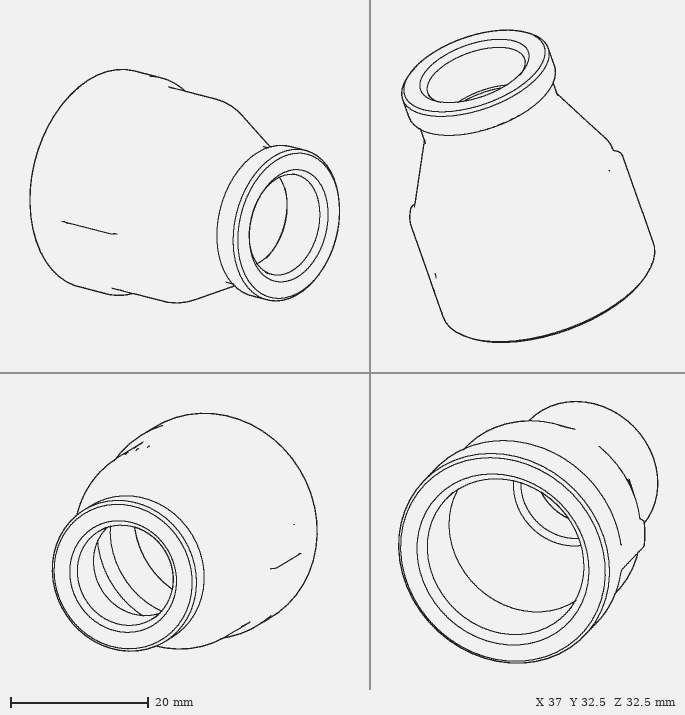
import cadquery as cq
import math

length = 37.0
end_chamfer = 0.48

collar_dia = 32.5
collar_end = 6.0
body_dia = 30.45
body_end = 17.35
neck_dia = 20.5
neck_start = 28.3
flange_dia = 22.5
flange_start = 32.95

body_cone_round = 1.25
neck_cone_round = 0.75
flange_step_round = (flange_dia - neck_dia) / 4

large_mouth_dia = 26.5
large_thread_dia = 24.12
large_thread_end = 10.88
large_relief_dia = 27.1
bore_cone_start = 16.87
bore_cone_round = 2.22
bore_neck_dia = 16.65
bore_neck_round = 0.75
small_thread_dia = 14.95
small_thread_length = 7.4

rib_width = 3.92

rib_corner_round = 0.48
raised_edge_round = 0.22
raised_root_round = 0.48

position_tolerance = 0.005

collar_radius = collar_dia / 2
body_radius = body_dia / 2
neck_radius = neck_dia / 2
flange_radius = flange_dia / 2
body_start = collar_end + collar_radius - body_radius


def rounded_outline(corners):
    """Closed half-section from (x, distance from axis, rounding radius) corners; radius 0 stays sharp."""
    first_x, first_y, _ = corners[0]
    outline = cq.Workplane("XZ").moveTo(first_x, first_y)
    position = cq.Vector(first_x, first_y)
    for index in range(1, len(corners)):
        x, y, radius = corners[index]
        corner = cq.Vector(x, y)
        if radius == 0:
            outline = outline.lineTo(x, y)
            position = corner
            continue
        before = cq.Vector(*corners[index - 1][:2])
        after = cq.Vector(*corners[(index + 1) % len(corners)][:2])
        to_before = (before - corner).normalized()
        to_after = (after - corner).normalized()
        half_angle = to_before.getAngle(to_after) / 2
        setback = radius / math.tan(half_angle)
        bisector = (to_before + to_after).normalized()
        arc_start = corner + to_before * setback
        arc_middle = corner + bisector * (radius / math.sin(half_angle) - radius)
        arc_end = corner + to_after * setback
        if (arc_start - position).Length > position_tolerance:
            outline = outline.lineTo(arc_start.x, arc_start.y)
        outline = outline.threePointArc((arc_middle.x, arc_middle.y), (arc_end.x, arc_end.y))
        position = arc_end
    return outline.close()


def turned(corners):
    """Solid of revolution about X, with the outline closed along the axis."""
    return rounded_outline(corners).revolve(360, (0, 0, 0), (1, 0, 0))


def make_outside():
    return turned([
        (0, 0, 0),
        (0, collar_radius - end_chamfer, 0),
        (end_chamfer, collar_radius, 0),
        (collar_end, collar_radius, 0),
        (body_start, body_radius, 0),
        (body_end, body_radius, body_cone_round),
        (neck_start, neck_radius, neck_cone_round),
        (flange_start, neck_radius, flange_step_round),
        (flange_start, flange_radius, flange_step_round),
        (length - end_chamfer, flange_radius, 0),
        (length, flange_radius - end_chamfer, 0),
        (length, 0, 0),
    ])


def make_bore():
    large_mouth_radius = large_mouth_dia / 2
    large_thread_radius = large_thread_dia / 2
    large_relief_radius = large_relief_dia / 2
    bore_neck_radius = bore_neck_dia / 2
    small_thread_radius = small_thread_dia / 2
    small_chamfer = bore_neck_radius - small_thread_radius
    cone_slope = (body_radius - neck_radius) / (neck_start - body_end)
    bore_cone_end = bore_cone_start + (large_relief_radius - bore_neck_radius) / cone_slope
    small_thread_start = length - small_thread_length
    return turned([
        (0, 0, 0),
        (0, large_mouth_radius, 0),
        (large_mouth_radius - large_thread_radius, large_thread_radius, 0),
        (large_thread_end, large_thread_radius, 0),
        (large_thread_end + large_relief_radius - large_thread_radius, large_relief_radius, 0),
        (bore_cone_start, large_relief_radius, bore_cone_round),
        (bore_cone_end, bore_neck_radius, bore_neck_round),
        (small_thread_start - small_chamfer, bore_neck_radius, 0),
        (small_thread_start, small_thread_radius, 0),
        (length - small_chamfer, small_thread_radius, 0),
        (length, bore_neck_radius, 0),
        (length, 0, 0),
    ])


def make_ribs():
    """Block across the part whose two ends are the ribs; their far ends round down onto the cone."""
    rib_turning = turned([
        (collar_end, 0, 0),
        (collar_end, collar_radius, 0),
        (body_end, collar_radius, body_cone_round),
        (body_end, 0, 0),
    ])
    slab = cq.Workplane("XY").box(2 * length, 2 * collar_dia, rib_width)
    return rib_turning.intersect(slab)


def arcs_at(x):
    """Selects the arcs that lie in the plane at this X."""
    return cq.selectors.BoxSelector(
        (x - position_tolerance, -collar_dia, -collar_dia),
        (x + position_tolerance, collar_dia, collar_dia),
    )


def round_ribs(outside):
    outside = outside.edges("%HYPERBOLA").fillet(rib_corner_round)
    outside = outside.edges(arcs_at(collar_end)).fillet(raised_edge_round)
    return outside.edges(arcs_at(body_start)).fillet(raised_root_round)


outside = round_ribs(make_outside().union(make_ribs()))
result = outside.cut(make_bore())